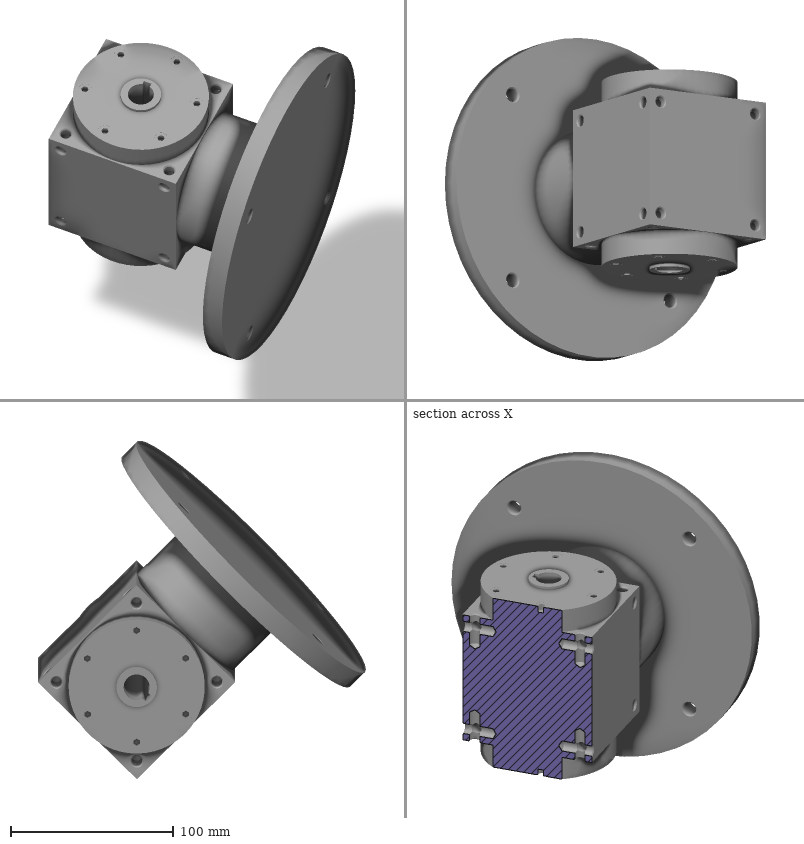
import cadquery as cq
import math

block_side = 86
cover_diameter = 84
cover_height = 15.0
barrel_diameter = cover_diameter
barrel_length = 44
flange_diameter = 200
flange_thickness = 13.0

shaft_diameter = 25.0
shaft_length = 120
bore_diameter = 16
keyway_width = 5.0
keyway_reach = 10.2

block_hole_spacing = 70
block_hole_diameter = 6.5
block_hole_mouth = 8
block_hole_depth = 20
drill_point_angle = 118

flange_hole_circle = 165.0
flange_hole_diameter = 8.5
flange_hole_mouth = 10

screw_count = 6
screw_circle = 70
screw_first_angle = 15
screw_head_diameter = 8.5
screw_head_recess = 0.1
socket_sides = 6
socket_across_flats = 4
socket_depth = 4

half_block = block_side / 2
cover_top = half_block + cover_height
flange_front = half_block + barrel_length
flange_hole_spacing = flange_hole_circle / math.sqrt(2)


def z_cylinder(diameter, half_length):
    """Cylinder about the Z axis, symmetric about the XY plane."""
    return cq.Workplane("XY").circle(diameter / 2).extrude(half_length, both=True)


def x_cylinder(diameter, start, length):
    """Cylinder about the X axis, growing towards +X from the given start."""
    return cq.Workplane("YZ", origin=(start, 0, 0)).circle(diameter / 2).extrude(length)


def square_points(spacing):
    """Four corners of a centred square."""
    half = spacing / 2
    return [(u, v) for u in (-half, half) for v in (-half, half)]


def outward_plane(normal, distance):
    """Plane at a distance from the origin along the normal, looking outwards."""
    origin = tuple(distance * part for part in normal)
    along_x = normal[0] != 0
    return cq.Plane(origin, (0, 1, 0) if along_x else (1, 0, 0), normal)


def drilled_profile(points):
    """Solid of revolution about Z from (radius, height) points."""
    return cq.Workplane("XZ").polyline(points).close().revolve(360, (0, 0), (0, 1)).val()


def block_hole_cutter():
    """Blind hole with a 45 degree mouth chamfer and a drill point, going down from Z = 0."""
    radius = block_hole_diameter / 2
    mouth_radius = block_hole_mouth / 2
    point_height = radius / math.tan(math.radians(drill_point_angle / 2))
    return drilled_profile([
        (0, 0),
        (mouth_radius, 0),
        (radius, radius - mouth_radius),
        (radius, -block_hole_depth),
        (0, -block_hole_depth - point_height),
    ])


def flange_hole_cutter():
    """Through hole with a 45 degree chamfer at both ends, going down from Z = 0."""
    radius = flange_hole_diameter / 2
    mouth_radius = flange_hole_mouth / 2
    chamfer = mouth_radius - radius
    return drilled_profile([
        (0, 0),
        (mouth_radius, 0),
        (radius, -chamfer),
        (radius, chamfer - flange_thickness),
        (mouth_radius, -flange_thickness),
        (0, -flange_thickness),
    ])


def screw_cutter():
    """Shallow head recess and hexagon socket of one screw, going down from Z = 0."""
    hexagon_diameter = socket_across_flats / math.cos(math.pi / socket_sides)
    head = cq.Workplane("XY").circle(screw_head_diameter / 2).extrude(-screw_head_recess)
    socket = cq.Workplane("XY").polygon(socket_sides, hexagon_diameter).extrude(-socket_depth)
    return head.union(socket).val()


def cut_at_points(body, plane, points, cutter):
    """Cut a copy of the cutter into the body at each point of the plane."""
    copies = cq.Workplane(plane).pushPoints(points).eachpoint(cutter, useLocalCoordinates=True)
    return body.cut(copies)


def screw_ring():
    """Cutters for the ring of screws in the upper cover."""
    return (
        cq.Workplane("XY", origin=(0, 0, cover_top))
        .polarArray(screw_circle / 2, screw_first_angle, 360, screw_count)
        .eachpoint(screw_cutter(), useLocalCoordinates=True)
    )


def make_housing():
    """Block with two covers, barrel and flange, bored through for the shaft."""
    housing = (
        cq.Workplane("XY")
        .box(block_side, block_side, block_side)
        .union(z_cylinder(cover_diameter, cover_top))
        .union(x_cylinder(barrel_diameter, half_block, barrel_length))
        .union(x_cylinder(flange_diameter, flange_front, flange_thickness))
        .cut(z_cylinder(shaft_diameter, cover_top))
    )

    free_faces = [(-1, 0, 0), (0, -1, 0), (0, 1, 0), (0, 0, -1), (0, 0, 1)]
    for normal in free_faces:
        face = outward_plane(normal, half_block)
        housing = cut_at_points(housing, face, square_points(block_hole_spacing), block_hole_cutter())

    flange_back = outward_plane((1, 0, 0), flange_front + flange_thickness)
    housing = cut_at_points(housing, flange_back, square_points(flange_hole_spacing), flange_hole_cutter())

    upper_screws = screw_ring()
    lower_screws = upper_screws.mirror("XY")
    return housing.cut(upper_screws).cut(lower_screws)


def make_shaft():
    """Hollow shaft with a keyway on the +Y side of its bore."""
    keyway = (
        cq.Workplane("XY")
        .box(keyway_width, keyway_reach, shaft_length)
        .translate((0, keyway_reach / 2, 0))
    )
    return (
        z_cylinder(shaft_diameter, shaft_length / 2)
        .cut(z_cylinder(bore_diameter, shaft_length / 2))
        .cut(keyway)
    )


housing = make_housing()
shaft = make_shaft()

result = cq.Compound.makeCompound([housing.val(), shaft.val()])